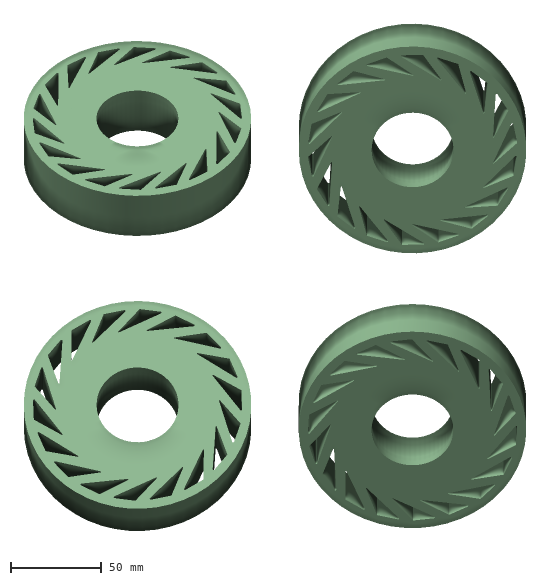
import cadquery as cq
import math

outer_diameter = 125.0
bore_diameter = 45.0
height = 30.0

pocket_count = 18
outer_corner_radius = 57.65
tip_radius = 44.5
acute_corner_angle = 81.7
obtuse_corner_angle = 95.0
tip_angle = 111.2
acute_corner_fillet = 0.55
tip_fillet = 0.3


def polar_point(radius, angle):
    """Point at a distance from the axis and an angle in degrees from +X."""
    return (
        radius * math.cos(math.radians(angle)),
        radius * math.sin(math.radians(angle)),
    )


def make_ring():
    return (
        cq.Workplane("XY")
        .circle(outer_diameter / 2)
        .circle(bore_diameter / 2)
        .extrude(height)
    )


def round_vertical_edge(prism, corner, radius):
    """Fillet the vertical edge that stands on the given corner point."""
    edge_middle = (*corner, height / 2)
    return prism.edges(cq.selectors.NearestToPointSelector(edge_middle)).fillet(radius)


def make_pocket():
    """Triangular prism with its two acute corners rounded."""
    acute_corner = polar_point(outer_corner_radius, acute_corner_angle)
    obtuse_corner = polar_point(outer_corner_radius, obtuse_corner_angle)
    tip = polar_point(tip_radius, tip_angle)
    prism = (
        cq.Workplane("XY")
        .polyline([acute_corner, obtuse_corner, tip])
        .close()
        .extrude(height)
    )
    prism = round_vertical_edge(prism, acute_corner, acute_corner_fillet)
    return round_vertical_edge(prism, tip, tip_fillet)


def cut_pockets(body):
    pocket = make_pocket()
    pitch = 360 / pocket_count
    for index in range(pocket_count):
        body = body.cut(pocket.rotate((0, 0, 0), (0, 0, 1), index * pitch))
    return body


result = cut_pockets(make_ring())